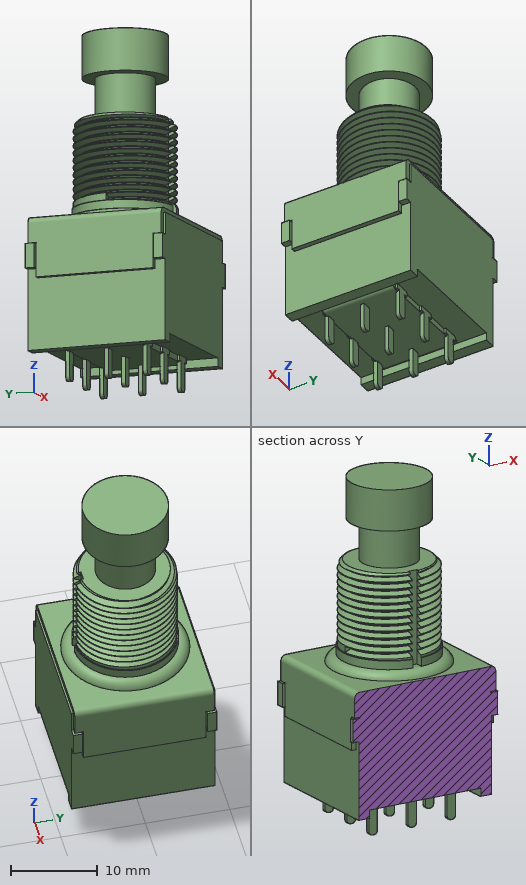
import cadquery as cq


HOUSING_LENGTH = 18.0
HOUSING_WIDTH = 17.0
HOUSING_TOP = 15.0
UPPER_LENGTH = 17.8
FOOT_LENGTH = 1.5
FOOT_HEIGHT = 1.0

TABS_LENGTH = 19.69
TAB_WIDTH = 1.1
TAB_BOTTOM = 9.55
TAB_TOP = 12.42

BRACKET_LENGTH = 19.2
BRACKET_WIDTH = 16.5
BRACKET_TOP = 15.6
BRACKET_BEND_RADIUS = 0.75
BRACKET_SHOULDER = 12.5
BRACKET_TONGUE_WIDTH = 14.5
BRACKET_BOTTOM = 8.45

BASE_LENGTH = 14.0
BASE_BOTTOM = 0.25
BASE_EDGE_RADIUS = FOOT_HEIGHT - BASE_BOTTOM
TERMINAL_PITCH_X = 5.3
TERMINAL_PITCH_Y = 4.8
TERMINAL_COUNT = 3
TERMINAL_WIDTH = 1.15
TERMINAL_THICKNESS = 0.5
TERMINAL_TIP = -3.2
TERMINAL_TIP_RADIUS = 0.5
SHOULDER_WIDTH = 2.15
SHOULDER_BOTTOM = 0.35

FLANGE_RADIUS = 7.5
FLANGE_TOP = 16.55
COLLAR_RADIUS = 6.15
FLANGE_EDGE_RADIUS = FLANGE_RADIUS - COLLAR_RADIUS
COLLAR_TOP = 17.6
BUSHING_TOP = 28.0
BUSHING_TOP_CHAMFER = 0.6
KEYWAY_WIDTH = 1.15
KEYWAY_FLOOR = 5.1

THREAD_RADIUS = 6.0
THREAD_PITCH = 0.85
THREAD_CREST = 0.1
THREAD_ROOT_RADIUS = 5.2
THREAD_ROOT_FLAT = 0.1
THREAD_START_ANGLE = 180.0

ROD_DIAMETER = 6.99
CAP_DIAMETER = 10.0
CAP_BOTTOM = 33.0
CAP_TOP = 38.0


def block(length, width, bottom, top):
    """Box centred on the Z axis between two heights."""
    return cq.Workplane("XY").workplane(offset=bottom).rect(length, width).extrude(top - bottom)


def cylinder(radius, bottom, top):
    """Cylinder on the Z axis between two heights."""
    return cq.Workplane("XY").workplane(offset=bottom).circle(radius).extrude(top - bottom)


def make_housing():
    lower = block(HOUSING_LENGTH, HOUSING_WIDTH, 0, TAB_TOP)
    upper = block(UPPER_LENGTH, HOUSING_WIDTH, TAB_TOP, HOUSING_TOP)
    channel = block(HOUSING_LENGTH - 2 * FOOT_LENGTH, HOUSING_WIDTH, 0, FOOT_HEIGHT)
    tabs = block(TABS_LENGTH, HOUSING_WIDTH, TAB_BOTTOM, TAB_TOP)
    tabs = tabs.cut(block(TABS_LENGTH, HOUSING_WIDTH - 2 * TAB_WIDTH, TAB_BOTTOM, TAB_TOP))
    return lower.union(upper).cut(channel).union(tabs)


def make_bracket():
    cover = block(BRACKET_LENGTH, BRACKET_WIDTH, BRACKET_SHOULDER, BRACKET_TOP)
    cover = cover.edges(">Z and |Y").fillet(BRACKET_BEND_RADIUS)
    tongues = block(BRACKET_LENGTH, BRACKET_TONGUE_WIDTH, BRACKET_BOTTOM, BRACKET_SHOULDER)
    return cover.union(tongues)


def make_terminal_base():
    """Plate between the feet, its upper part embedded in the housing."""
    base = block(BASE_LENGTH, 2 * TERMINAL_PITCH_Y, BASE_BOTTOM, HOUSING_TOP / 2)
    return base.edges("<Z and |Y").fillet(BASE_EDGE_RADIUS)


def make_terminals():
    pin = block(TERMINAL_WIDTH, TERMINAL_THICKNESS, TERMINAL_TIP, FOOT_HEIGHT)
    pin = pin.edges("<Z and |Y").fillet(TERMINAL_TIP_RADIUS)
    shoulder = block(SHOULDER_WIDTH, TERMINAL_THICKNESS, SHOULDER_BOTTOM, FOOT_HEIGHT)
    grid = cq.Workplane("XY").rarray(TERMINAL_PITCH_X, TERMINAL_PITCH_Y, TERMINAL_COUNT, TERMINAL_COUNT)
    terminal = pin.union(shoulder).val()
    return grid.eachpoint(lambda place: terminal.moved(place))


def make_thread_groove():
    """Helical groove with sloping flanks that starts on the collar and runs out of the top of the bushing."""
    half_width = (THREAD_PITCH - THREAD_CREST) / 2
    half_root = THREAD_ROOT_FLAT / 2
    flank_slope = (half_width - half_root) / (THREAD_RADIUS - THREAD_ROOT_RADIUS)
    mouth_half_width = half_width + THREAD_CREST / 4
    mouth_radius = THREAD_ROOT_RADIUS + (mouth_half_width - half_root) / flank_slope
    start = COLLAR_TOP + THREAD_PITCH / 2
    height = BUSHING_TOP + THREAD_PITCH - start
    corners = [
        (mouth_radius, -mouth_half_width),
        (THREAD_ROOT_RADIUS, -half_root),
        (THREAD_ROOT_RADIUS, half_root),
        (mouth_radius, mouth_half_width),
    ]

    def end_face(turn, rise):
        points = [cq.Vector(radius, 0, rise + offset) for radius, offset in corners]
        face = cq.Face.makeFromWires(cq.Wire.makePolygon(points, close=True))
        return face.rotate(cq.Vector(0, 0, 0), cq.Vector(0, 0, 1), turn)

    edges = [
        cq.Wire.makeHelix(THREAD_PITCH, height, radius).translate(cq.Vector(0, 0, offset))
        for radius, offset in corners
    ]
    faces = [cq.Face.makeRuledSurface(edges[side - 1], edges[side]) for side in range(len(edges))]
    faces.append(end_face(0, 0))
    faces.append(end_face(360 * height / THREAD_PITCH, height))
    groove = cq.Workplane(cq.Solid.makeSolid(cq.Shell.makeShell(faces)))
    return groove.rotate((0, 0, 0), (0, 0, 1), THREAD_START_ANGLE).translate((0, 0, start))


def make_flange():
    """Domed ring whose round edge ends at the foot of the collar."""
    blank = cylinder(FLANGE_RADIUS, FLANGE_TOP - 2 * FLANGE_EDGE_RADIUS, FLANGE_TOP)
    return blank.edges(">Z").fillet(FLANGE_EDGE_RADIUS)


def make_bushing():
    collar = cylinder(COLLAR_RADIUS, HOUSING_TOP, COLLAR_TOP)
    barrel = cylinder(THREAD_RADIUS, HOUSING_TOP, BUSHING_TOP).cut(make_thread_groove())
    envelope = cylinder(THREAD_RADIUS, HOUSING_TOP, BUSHING_TOP).edges(">Z").chamfer(BUSHING_TOP_CHAMFER)
    barrel = barrel.intersect(envelope)
    keyway = block(KEYWAY_WIDTH, COLLAR_RADIUS, FLANGE_TOP, BUSHING_TOP)
    keyway = keyway.translate((0, -KEYWAY_FLOOR - COLLAR_RADIUS / 2, 0))
    return barrel.union(collar).cut(keyway).union(make_flange())


def make_button():
    rod = cylinder(ROD_DIAMETER / 2, BUSHING_TOP, CAP_BOTTOM)
    return rod.union(cylinder(CAP_DIAMETER / 2, CAP_BOTTOM, CAP_TOP))


result = (
    make_housing()
    .union(make_bracket())
    .union(make_terminal_base())
    .union(make_terminals())
    .union(make_bushing())
    .union(make_button())
)